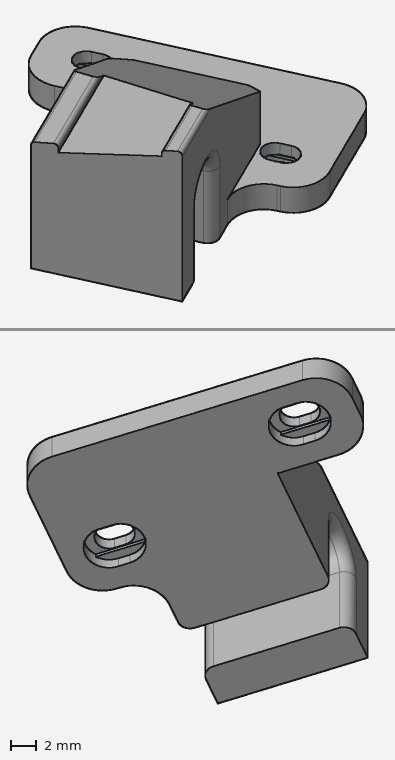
import cadquery as cq
import math

flange_length = 26.74
total_depth = 27.17
flange_thickness = 2.5
corner_radius = 3.0
left_lobe_front = 19.35
right_lobe_front = 13.3

slot_length = 3.2
slot_width = 2.25
slot_centers = [(4.7, 23.25), (22.35, 17.28)]

head_recess_length = 4.9
head_recess_width = 3.95
head_recess_depth = 1.0
step_height = 0.33
step_width = 2.4

body_left = 8.05
body_width = 12.45
body_right = body_left + body_width
body_back = left_lobe_front
body_height = 14.6
back_edge_chamfer = 1.5

roof_angle = 30
roof_front = 5.73

land_angle = 10.5
land_rounding = 0.35
left_land_width = 2.25
right_land_width = 1.68
groove_left_height = 11.9
groove_right_height = 13.78

passage_y = 5.55
passage_radius = 2.0
passage_arc_height = 7.06
passage_rounding = 1.0


def make_flange():
    outline = (
        cq.Workplane("XY")
        .moveTo(0, left_lobe_front)
        .lineTo(body_left, left_lobe_front)
        .lineTo(body_left, right_lobe_front - corner_radius)
        .lineTo(body_right, right_lobe_front - corner_radius)
        .radiusArc((body_right + corner_radius, right_lobe_front), corner_radius)
        .lineTo(flange_length, right_lobe_front)
        .lineTo(flange_length, total_depth)
        .lineTo(0, total_depth)
        .close()
    )
    plate = outline.extrude(flange_thickness)
    outer_corners = plate.edges("|Z and (<X or >X)")
    return outer_corners.fillet(corner_radius)


def make_body():
    slope = math.tan(math.radians(land_angle))
    peak_x = body_right - land_rounding
    rounding_rise = land_rounding / math.cos(math.radians(land_angle)) - land_rounding

    def land_height(x):
        return body_height + rounding_rise + (x - peak_x) * slope

    groove_left = body_left + left_land_width
    groove_right = body_right - right_land_width
    land_corners = [
        (x, land_height(x)) for x in (body_left, groove_left, groove_right, body_right)
    ]
    profile = [
        (body_left, 0),
        land_corners[0],
        land_corners[1],
        (groove_left, groove_left_height),
        (groove_right, groove_right_height),
        land_corners[2],
        land_corners[3],
        (body_right, 0),
    ]
    body = cq.Workplane("XZ").polyline(profile).close().extrude(-body_back)
    for x, z in land_corners:
        corner_edge = cq.selectors.NearestToPointSelector((x, body_back / 2, z))
        body = body.edges(corner_edge).fillet(land_rounding)
    return body


def make_roof_cutter():
    roof_drop = (total_depth - roof_front) * math.tan(math.radians(roof_angle))
    return (
        cq.Workplane("YZ")
        .moveTo(roof_front, body_height)
        .lineTo(total_depth, body_height - roof_drop)
        .lineTo(total_depth, total_depth)
        .lineTo(roof_front, total_depth)
        .close()
        .extrude(flange_length)
    )


def make_passage():
    return (
        cq.Workplane("YZ")
        .workplane(offset=body_left)
        .moveTo(passage_y - passage_radius, 0)
        .lineTo(passage_y - passage_radius, passage_arc_height)
        .threePointArc(
            (passage_y, passage_arc_height + passage_radius),
            (passage_y + passage_radius, passage_arc_height),
        )
        .lineTo(passage_y + passage_radius, 0)
        .close()
        .extrude(body_width)
    )


def round_passage_mouths(part):
    arch_top = passage_arc_height + passage_radius
    for wall_x in (body_left, body_right):
        mouth_edge = cq.selectors.NearestToPointSelector((wall_x, passage_y, arch_top))
        part = part.edges(mouth_edge).fillet(passage_rounding)
    return part


def make_screw_slot():
    through_slot = cq.Workplane("XY").slot2D(slot_length, slot_width).extrude(flange_thickness)
    head_recess = (
        cq.Workplane("XY").slot2D(head_recess_length, head_recess_width).extrude(head_recess_depth)
    )
    step = (
        cq.Workplane("XY", origin=(0, 0, head_recess_depth))
        .slot2D(head_recess_length, head_recess_width)
        .extrude(step_height)
        .intersect(
            cq.Workplane("XY").box(head_recess_length, step_width, 2 * flange_thickness)
        )
    )
    return through_slot.union(head_recess).union(step)


body = make_body().cut(make_roof_cutter())
body = round_passage_mouths(body.cut(make_passage()))

for wall_x in (body_left, body_right):
    inward = back_edge_chamfer if wall_x == body_left else -back_edge_chamfer
    corner_cutter = (
        cq.Workplane("XY", origin=(wall_x, body_back, flange_thickness))
        .polyline([(0, 0), (inward, 0), (0, -back_edge_chamfer)])
        .close()
        .extrude(body_height)
    )
    body = body.cut(corner_cutter)

slot = make_screw_slot()
result = make_flange().union(body)
for slot_x, slot_y in slot_centers:
    result = result.cut(slot.translate((slot_x, slot_y, 0)))